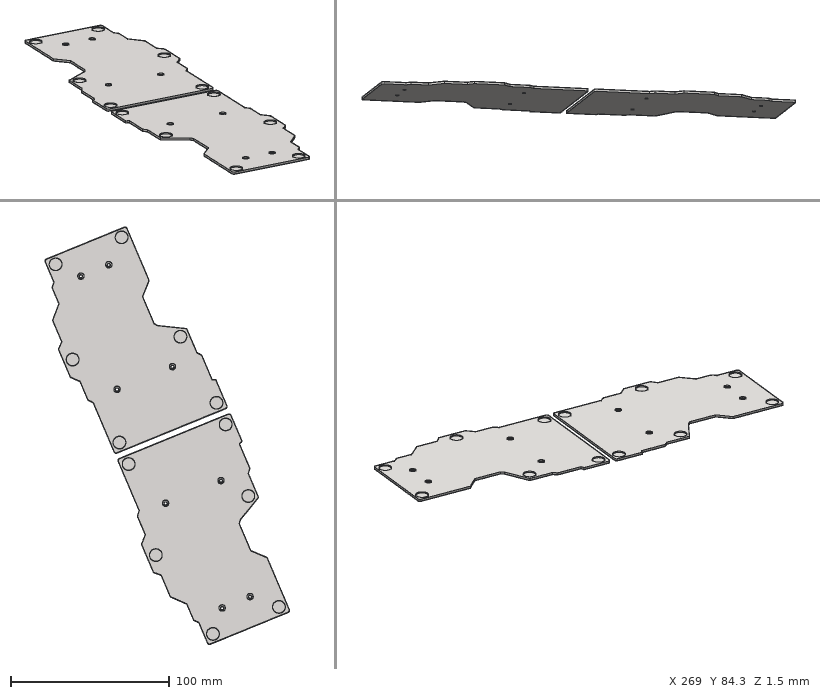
import cadquery as cq

plate_thickness = 1.5
half_span = 134.5
half_gap = 2.0
plate_depth = 84.3
corner_radius = 1.3

outer_bottom = 14.3
arch_top = 22.0
thumb_bottom = 4.3
inner_step_bottom = 2.2
outer_top = 70.3
second_top = 72.7
third_top = 80.5
fifth_top = 79.7
inner_top = 77.3

foot_diameter = 8.0
foot_recess_depth = 0.8
outer_foot_x = 129.2
inner_foot_x = 7.5
foot_centres = [
    (outer_foot_x, 65.0),
    (outer_foot_x, 19.7),
    (68.5, 78.5),
    (inner_foot_x, 72.0),
    (inner_foot_x, 5.5),
    (55.7, 10.0),
]

screw_diameter = 2.0
screw_head_diameter = 4.0
screw_head_depth = 0.8
outer_screw_x = 116.0
inner_screw_x = 39.8
screw_centres = [
    (outer_screw_x, 53.0),
    (outer_screw_x, 34.0),
    (inner_screw_x, 60.0),
    (inner_screw_x, 22.0),
]

outline = [
    (half_gap, 0),
    (21.5, 0),
    (22.3, inner_step_bottom),
    (39.5, inner_step_bottom),
    (42.3, thumb_bottom),
    (59.0, thumb_bottom),
    (67.8, 20.5),
    (70.0, arch_top),
    (88.8, arch_top),
    (97.0, outer_bottom),
    (half_span, outer_bottom),
    (half_span, outer_top),
    (119.0, outer_top),
    (116.3, second_top),
    (105.0, second_top),
    (96.6, third_top),
    (81.5, third_top),
    (78.0, plate_depth),
    (58.5, plate_depth),
    (53.5, fifth_top),
    (40.6, fifth_top),
    (37.7, inner_top),
    (half_gap, inner_top),
]

square_corners = [
    (half_gap, 0),
    (half_gap, inner_top),
    (half_span, outer_bottom),
    (half_span, outer_top),
]


def mirrored(points, side):
    """Place points given for the +X plate on the plate of the given side (+1 or -1)."""
    return [(side * x, y) for x, y in points]


def round_corners(plate, side):
    """Round the upright edges at the square corners of a plate."""
    for x, y in mirrored(square_corners, side):
        corner = cq.selectors.NearestToPointSelector((x, y, plate_thickness / 2))
        plate = plate.edges(corner).fillet(corner_radius)
    return plate


def cut_foot_recesses(plate, top, side):
    """Sink a shallow blind recess for each round foot."""
    recesses = (
        top.pushPoints(mirrored(foot_centres, side))
        .circle(foot_diameter / 2)
        .extrude(-foot_recess_depth)
    )
    return plate.cut(recesses)


def cut_screw_holes(plate, top, side):
    """Drill the counterbored through holes for the screws."""
    return (
        plate.copyWorkplane(top)
        .pushPoints(mirrored(screw_centres, side))
        .cboreHole(screw_diameter, screw_head_diameter, screw_head_depth)
    )


def make_plate(side):
    """One plate with its foot recesses and screw holes, all cut from the top."""
    plate = cq.Workplane("XY").polyline(mirrored(outline, side)).close().extrude(plate_thickness)
    plate = round_corners(plate, side)
    top = cq.Workplane("XY", origin=(0, 0, plate_thickness))
    plate = cut_foot_recesses(plate, top, side)
    return cut_screw_holes(plate, top, side)


plates = [make_plate(side) for side in (-1, 1)]

result = cq.Compound.makeCompound([plate.solids().val() for plate in plates])